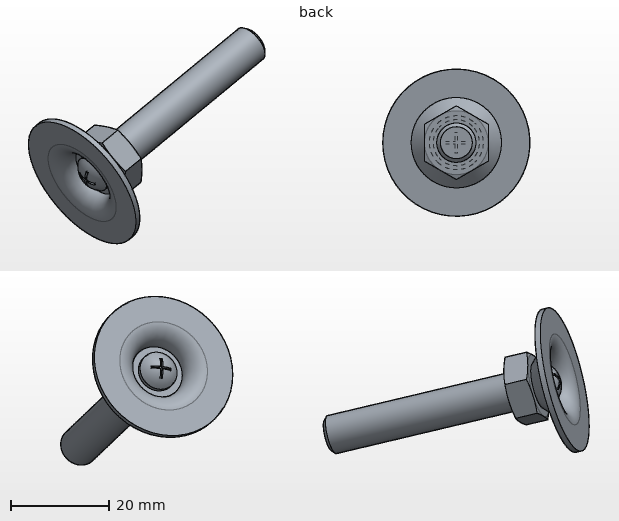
import cadquery as cq
import math

overall_length = 51.0

plate_diameter = 30.0
plate_thickness = 1.2
hub_base_radius = 9.2
hub_height = 5.7
hub_top_radius = hub_base_radius - (hub_height - plate_thickness)

recess_floor_radius = 5.5
recess_depth = 4.0
recess_mouth_radius = recess_floor_radius + recess_depth

stem_diameter = 8.0
stem_radius = stem_diameter / 2
stem_chamfer = 0.75
head_rim = 1.0
dome_height = 2.0

slot_length = 4.2
slot_width = 0.5
slot_depth = 1.0

hex_across_flats = 13.0
hex_across_corners = hex_across_flats / math.cos(math.pi / 6)
hex_height = 5.2
hex_chamfer_angle = math.radians(15)


def revolve_about_axis(outline):
    """Revolve a closed radius/height outline about its height axis, which ends up along Z."""
    return outline.revolve(360, (0, 0, 0), (0, 1, 0)).rotate((0, 0, 0), (1, 0, 0), 90)


def make_foot():
    outline = (
        cq.Workplane("XY")
        .lineTo(plate_diameter / 2, 0)
        .lineTo(plate_diameter / 2, plate_thickness)
        .lineTo(hub_base_radius, plate_thickness)
        .lineTo(hub_top_radius, hub_height)
        .lineTo(0, hub_height)
        .close()
    )
    return revolve_about_axis(outline)


def make_recess():
    arc_reach = recess_depth * math.cos(math.pi / 4)
    outline = (
        cq.Workplane("XY")
        .lineTo(recess_mouth_radius, 0)
        .threePointArc(
            (recess_mouth_radius - arc_reach, recess_depth - arc_reach),
            (recess_floor_radius, recess_depth),
        )
        .lineTo(0, recess_depth)
        .close()
    )
    return revolve_about_axis(outline)


def make_head():
    rim_level = recess_depth - head_rim
    tip_level = rim_level - dome_height
    sphere_radius = (stem_radius**2 + dome_height**2) / (2 * dome_height)
    half_angle = math.asin(stem_radius / sphere_radius) / 2
    mid_radius = sphere_radius * math.sin(half_angle)
    mid_level = tip_level + sphere_radius * (1 - math.cos(half_angle))
    outline = (
        cq.Workplane("XY")
        .moveTo(0, tip_level)
        .threePointArc((mid_radius, mid_level), (stem_radius, rim_level))
        .lineTo(stem_radius, recess_depth)
        .lineTo(0, recess_depth)
        .close()
    )
    head = revolve_about_axis(outline)
    slot_floor = tip_level + slot_depth
    for length, width in ((slot_length, slot_width), (slot_width, slot_length)):
        head = head.cut(cq.Workplane("XY").rect(length, width).extrude(slot_floor))
    return head


def make_hexagon():
    hexagon = (
        cq.Workplane("XY", origin=(0, 0, hub_height))
        .polygon(6, hex_across_corners)
        .extrude(hex_height)
        .rotate((0, 0, 0), (0, 0, 1), 90)
    )
    corner_radius = hex_across_corners / 2
    chamfer_reach = corner_radius - hex_across_flats / 2
    corner_drop = chamfer_reach * math.tan(hex_chamfer_angle)
    envelope = (
        cq.Workplane("XY", origin=(0, 0, hub_height))
        .circle(corner_radius)
        .extrude(hex_height)
        .edges()
        .chamfer(corner_drop, chamfer_reach)
    )
    return hexagon.intersect(envelope)


def make_stem():
    return (
        cq.Workplane("XY", origin=(0, 0, hub_height))
        .circle(stem_radius)
        .extrude(overall_length - hub_height)
        .faces(">Z")
        .chamfer(stem_chamfer)
    )


upright = make_foot().cut(make_recess()).union(make_head()).union(make_hexagon()).union(make_stem())
result = upright.rotate((0, 0, 0), (1, 0, 0), -90)